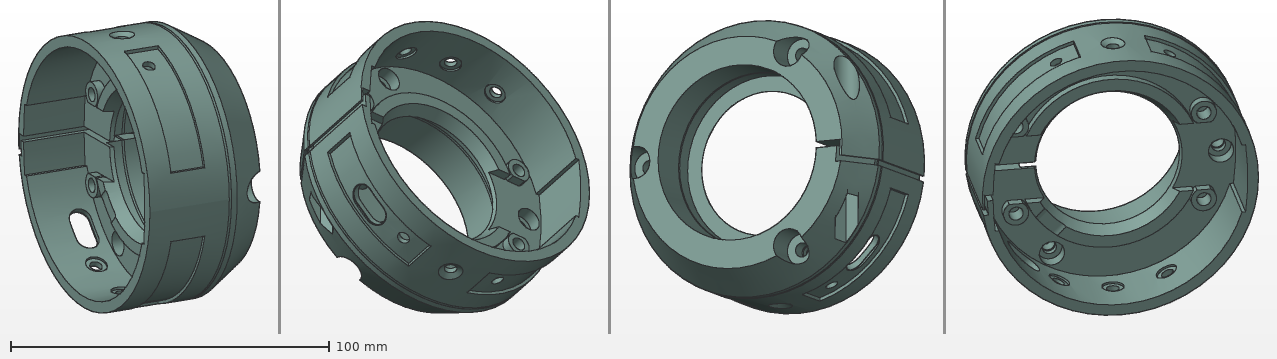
import cadquery as cq
import math


outer_radius = 44.1
lip_radius = 22.9
bore_radius = 28.0
total_length = 43.0
cone_length = 12.0
cone_end_radius = 37.0
cone_start = total_length - cone_length

sleeve_length = 28.2
seal_thickness = 0.8
cap_front = sleeve_length + seal_thickness

inner_radius = 40.5
floor_depth = 21.5
rim_height = 3.0
rim_front = floor_depth - rim_height
rim_outer_radius = 29.1
rim_inner_radius = 25.1
lip_end = 22.75
channel_half_height = 11.6
channel_mid_reach = 40.7
channel_edge_reach = 39.95

boss_diameter = 8.0
boss_hole_diameter = 4.5
boss_x = 30.0
boss_z = 15.0
boss_hole_depth = 6.0

axial_screw_radius = 36.0
axial_screw_angles = (0, 120, 240)
axial_hole_diameter = 4.5
front_counterbore_diameter = 8.0
front_counterbore_end = 26.1
rear_counterbore_diameter = 10.2
rear_counterbore_start = 33.5

clamp_x = -34.5
clamp_y = 34.8
clamp_hole_diameter = 4.5
clamp_head_diameter = 8.0
clamp_seat_height = 12.35
nut_across_flats = 7.2

slot_half_width = 1.0
lip_thickness = 0.6
step_depth = 1.6
lip_end_z = -4.1
step_end_z = -5.9

recess_floor_radius = 43.0
recess_start = 11.3
recess_front = 8.3
recess_width = 12.0

radial_hole_y = 13.4
radial_hole_diameter = 4.0
radial_hole_tilt = 25
spotface_diameter = 7.0
spotface_plane = 41.1
countersink_diameter = 8.0
countersink_depth = 1.2

cable_angle = 45
cable_y = 15.1
cable_straight = 6.5
cable_width = 7.6
cable_inner_start = 21.2
cable_ledge_width = 8.1
cable_ledge_radius = 42.3

overcut = 0.9


def revolve(profile):
    """Turn a list of (radius, y) points around the Y axis."""
    return cq.Workplane("XY").polyline(profile).close().revolve(360, (0, 0), (0, 1))


def ring(inner, outer, start, end):
    """Plain ring around Y, from y = start to y = end."""
    return revolve([(inner, start), (outer, start), (outer, end), (inner, end)])


def cylinder_along_y(diameter, x, z, start, end):
    """Cylinder parallel to Y, from y = start to y = end."""
    return cq.Workplane("XZ", origin=(x, start, z)).circle(diameter / 2).extrude(start - end)


def block(x_range, y_range, z_range):
    """Box between two corners."""
    sizes = [end - start for start, end in (x_range, y_range, z_range)]
    corner = (x_range[0], y_range[0], z_range[0])
    return cq.Workplane("XY", origin=corner).box(*sizes, centered=False)


def radial_plane(angle, y, distance):
    """Workplane facing outward, turned about Y by `angle` from +Z towards +X; its local x is tangential."""
    outward = (math.sin(math.radians(angle)), 0, math.cos(math.radians(angle)))
    tangent = (outward[2], 0, -outward[0])
    origin = (outward[0] * distance, y, outward[2] * distance)
    return cq.Workplane(cq.Plane(origin=origin, xDir=tangent, normal=outward))


def envelope(inset):
    """Solid of the whole outer shape, moved inward by `inset`."""
    half_cone_angle = math.atan2(outer_radius - cone_end_radius, cone_length)
    cone_inset = inset / math.cos(half_cone_angle)
    corner_shift = inset * math.tan(half_cone_angle / 2)
    return revolve([
        (0, 0),
        (outer_radius - inset, 0),
        (outer_radius - inset, cone_start - corner_shift),
        (cone_end_radius - cone_inset, total_length),
        (0, total_length),
    ])


def lap_slot():
    """Slot from the bore to the lip, the gap under the lip, and the opening beyond the lip's end."""
    left = (-outer_radius - overcut, 0)
    length = (0, total_length)
    under_lip = envelope(lip_thickness)
    step_core = envelope(step_depth)
    slot = block(left, length, (-slot_half_width, slot_half_width)).intersect(under_lip)
    gap = block(left, length, (step_end_z, slot_half_width)).intersect(under_lip).cut(step_core)
    opening = block(left, length, (step_end_z, lip_end_z)).cut(step_core)
    return slot.union(gap).union(opening)


def axial_screw_cut():
    """Stepped holes for the screws parallel to Y."""
    cut = cq.Workplane("XY")
    for angle in axial_screw_angles:
        x = axial_screw_radius * math.cos(math.radians(angle))
        z = axial_screw_radius * math.sin(math.radians(angle))
        cut = cut.add(cylinder_along_y(axial_hole_diameter, x, z, 0, total_length))
        cut = cut.add(cylinder_along_y(front_counterbore_diameter, x, z, 0, front_counterbore_end))
        cut = cut.add(cylinder_along_y(rear_counterbore_diameter, x, z, rear_counterbore_start, total_length))
    return cut.combine()


def rim_lip_and_bosses():
    """Raised rim that narrows to a sharp lip in the bore, and four screw bosses.

    The channel along X interrupts the rim and trims the bosses down to the floor.
    """
    rim = revolve([
        (rim_inner_radius, rim_front),
        (rim_outer_radius, rim_front),
        (rim_outer_radius, lip_end),
        (lip_radius, lip_end),
    ])
    for x in (-boss_x, boss_x):
        for z in (-boss_z, boss_z):
            rim = rim.union(cylinder_along_y(boss_diameter, x, z, rim_front, lip_end))
    channel = block(
        (-outer_radius, outer_radius), (0, floor_depth), (-channel_half_height, channel_half_height)
    )
    return rim.cut(channel)


def channel_wall_cut():
    """Hollow along X with gently curved ends, which cuts into the wall of the sleeve."""
    return (
        cq.Workplane("XZ")
        .moveTo(-channel_edge_reach, -channel_half_height)
        .lineTo(channel_edge_reach, -channel_half_height)
        .threePointArc((channel_mid_reach, 0), (channel_edge_reach, channel_half_height))
        .lineTo(-channel_edge_reach, channel_half_height)
        .threePointArc((-channel_mid_reach, 0), (-channel_edge_reach, -channel_half_height))
        .close()
        .extrude(-floor_depth)
    )


def label_recess_cut():
    """Four shallow recesses, one in each quarter of the outside."""
    y_range = (recess_front, recess_front + recess_width)
    quarter = (recess_start, outer_radius + overcut)
    shell = ring(recess_floor_radius, outer_radius + overcut, *y_range)
    blocks = block(quarter, y_range, quarter)
    for turn in (90, 180, 270):
        blocks = blocks.union(block(quarter, y_range, quarter).rotate((0, 0, 0), (0, 1, 0), turn))
    return shell.intersect(blocks)


def radial_hole_cut(angle, countersunk):
    """Radial hole with a flat spotface inside the sleeve, and a countersink outside if asked for."""
    core = radial_plane(angle, radial_hole_y, rim_outer_radius)
    cut = core.circle(radial_hole_diameter / 2).extrude(outer_radius - rim_outer_radius)
    spotface = core.circle(spotface_diameter / 2).extrude(spotface_plane - rim_outer_radius)
    cut = cut.union(spotface)
    if countersunk:
        countersink = (
            radial_plane(angle, radial_hole_y, outer_radius)
            .circle(countersink_diameter / 2)
            .workplane(offset=-countersink_depth)
            .circle(radial_hole_diameter / 2)
            .loft()
        )
        cut = cut.union(countersink)
    return cut


def cable_opening_cut():
    """Oblong radial opening with a shallow ledge outside."""
    angle = 180 + cable_angle
    opening = (
        radial_plane(angle, cable_y, cable_inner_start)
        .slot2D(cable_straight + cable_width, cable_width)
        .extrude(outer_radius - cable_inner_start)
    )
    ledge = (
        radial_plane(angle, cable_y, cable_ledge_radius)
        .slot2D(cable_straight + cable_ledge_width, cable_ledge_width)
        .extrude(outer_radius - cable_ledge_radius)
    )
    return opening.union(ledge)


def make_sleeve():
    """Front housing with floor, rim, bosses, recesses and radial holes."""
    sleeve = revolve([
        (inner_radius, 0),
        (outer_radius, 0),
        (outer_radius, sleeve_length),
        (bore_radius, sleeve_length),
        (bore_radius, floor_depth),
        (inner_radius, floor_depth),
    ])
    sleeve = sleeve.cut(channel_wall_cut()).union(rim_lip_and_bosses())
    for x in (-boss_x, boss_x):
        for z in (-boss_z, boss_z):
            hole_end = rim_front + boss_hole_depth
            sleeve = sleeve.cut(cylinder_along_y(boss_hole_diameter, x, z, rim_front, hole_end))
    sleeve = sleeve.cut(label_recess_cut()).cut(cable_opening_cut())
    for side in (0, 180):
        sleeve = sleeve.cut(radial_hole_cut(side, True))
        for tilt in (-radial_hole_tilt, radial_hole_tilt):
            sleeve = sleeve.cut(radial_hole_cut(side + tilt, False))
    return sleeve.cut(axial_screw_cut()).cut(lap_slot())


def make_seal():
    """Thin flat ring between sleeve and cap."""
    seal = ring(bore_radius, outer_radius, sleeve_length, cap_front)
    return seal.cut(axial_screw_cut()).cut(lap_slot())


def clamp_screw_cut():
    """Hole along Z with a round head seat above and a hexagonal nut seat below."""
    hole = cq.Workplane("XY", origin=(clamp_x, clamp_y, -outer_radius))
    hole = hole.circle(clamp_hole_diameter / 2).extrude(2 * outer_radius)
    head = cq.Workplane("XY", origin=(clamp_x, clamp_y, clamp_seat_height))
    head = head.circle(clamp_head_diameter / 2).extrude(outer_radius)
    nut = cq.Workplane("XY", origin=(clamp_x, clamp_y, -clamp_seat_height))
    nut = nut.polygon(6, nut_across_flats / math.cos(math.pi / 6)).extrude(-outer_radius)
    return hole.union(head).union(nut)


def make_cap():
    """Conical clamping cap with a plain bore."""
    cap = revolve([
        (bore_radius, cap_front),
        (outer_radius, cap_front),
        (outer_radius, cone_start),
        (cone_end_radius, total_length),
        (bore_radius, total_length),
    ])
    return cap.cut(axial_screw_cut()).cut(clamp_screw_cut()).cut(lap_slot())


sleeve = make_sleeve()
seal = make_seal()
cap = make_cap()

result = cq.Compound.makeCompound([sleeve.val(), seal.val(), cap.val()])